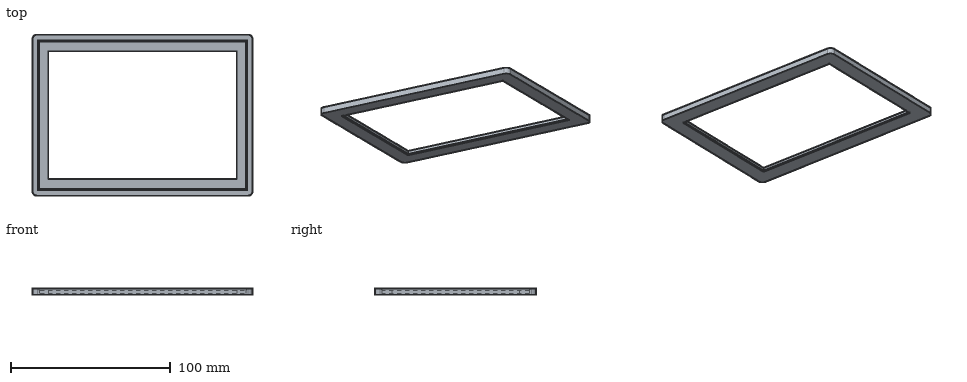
import cadquery as cq

LENGTH = 138.0
WIDTH = 101.0
HEIGHT = 4.0
CORNER_RADIUS = 3.0

MOUTH_INSET = 3.5
CHAMFER = 1.0
FLOOR_THICKNESS = 1.0

WINDOW_LENGTH = 118.0
WINDOW_WIDTH = 79.9

RECESS_LENGTH = LENGTH - 2 * (MOUTH_INSET + CHAMFER)
RECESS_WIDTH = WIDTH - 2 * (MOUTH_INSET + CHAMFER)
PANEL_THICKNESS = HEIGHT - CHAMFER - FLOOR_THICKNESS


def block(length, width, height, base_z):
    """Rectangular block centred on the Z axis, standing on base_z."""
    return cq.Workplane("XY").workplane(offset=base_z).rect(length, width).extrude(height)


def cut_window(body):
    """Cut the rectangular window right through a body."""
    return body.cut(block(WINDOW_LENGTH, WINDOW_WIDTH, HEIGHT, 0))


def make_frame():
    """Rounded frame with a chamfered recess and a thin floor ledge."""
    frame = block(LENGTH, WIDTH, HEIGHT, 0).edges("|Z").fillet(CORNER_RADIUS)
    recess = block(RECESS_LENGTH, RECESS_WIDTH, HEIGHT - FLOOR_THICKNESS, FLOOR_THICKNESS)
    frame = cut_window(frame.cut(recess))
    mouth = cq.selectors.BoxSelector(
        (-RECESS_LENGTH / 2 - CHAMFER, -RECESS_WIDTH / 2 - CHAMFER, HEIGHT - CHAMFER / 2),
        (RECESS_LENGTH / 2 + CHAMFER, RECESS_WIDTH / 2 + CHAMFER, HEIGHT + CHAMFER / 2),
    )
    return frame.edges(mouth).chamfer(CHAMFER)


def make_panel():
    """Flat ring that rests on the floor ledge, level with the foot of the chamfer."""
    return cut_window(block(RECESS_LENGTH, RECESS_WIDTH, PANEL_THICKNESS, FLOOR_THICKNESS))


frame = make_frame()
panel = make_panel()

result = cq.Compound.makeCompound([frame.val(), panel.val()])